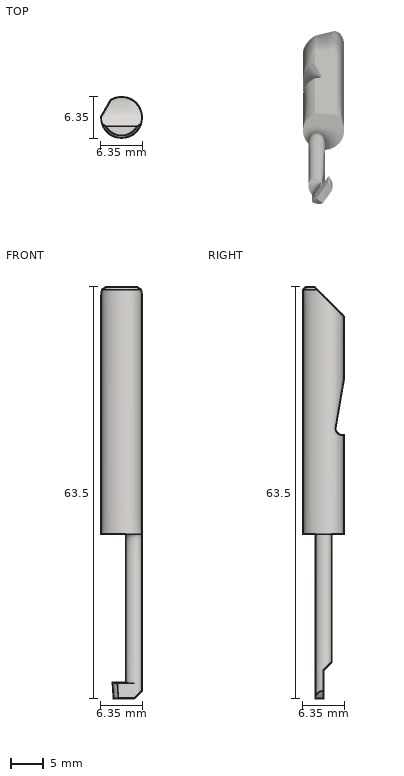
import math

import cadquery as cq


overall_length = 63.5
shank_diameter = 6.35
shank_radius = shank_diameter / 2
shank_length = 38.1
neck_length = overall_length - shank_length

flat_normal_angle = 150.0
flat_distance = 2.8

rim_chamfer = 0.4
bevel_start_y = -1.38

notch_floor_z = 40.7
notch_depth = 1.3
notch_radius = 1.0
notch_ramp_angle = 9.8

neck_radius = 1.27
neck_x = shank_radius - neck_radius
relief_base_z = 4.4
corner_chamfer = 1.25

head_height = 2.54
tip_x = -1.25
head_front_x = -0.48
end_arc_bulge = 0.1
end_face_lean = 0.17
side_relief = 0.15
edge_rise = 0.08

oversize = 2 * shank_diameter


def prism_along_x(points):
    """Prism across the whole part from an outline of (Y, Z) points."""
    return cq.Workplane("YZ").polyline(points).close().extrude(oversize, both=True)


def make_shank():
    shank = cq.Workplane("XY").workplane(offset=neck_length).circle(shank_radius).extrude(shank_length)
    shank = shank.faces(">Z").edges().chamfer(rim_chamfer)
    return shank.cut(make_flat_cutter()).cut(make_bevel_cutter()).cut(make_notch_cutter())


def make_flat_cutter():
    cutter = cq.Workplane("XY").box(oversize, oversize, overall_length, centered=(False, True, False))
    cutter = cutter.translate((flat_distance, 0, neck_length))
    return cutter.rotate((0, 0, 0), (0, 0, 1), flat_normal_angle)


def make_bevel_cutter():
    return prism_along_x([
        (bevel_start_y, overall_length),
        (bevel_start_y + oversize, overall_length),
        (bevel_start_y + oversize, overall_length - oversize),
    ])


def make_notch_cutter():
    """Ramp running down and inward to a rounded corner above the notch floor."""
    ramp = math.radians(notch_ramp_angle)
    deepest_y = shank_radius - notch_depth
    arc_center_y = deepest_y + notch_radius
    arc_center_z = notch_floor_z + notch_radius
    arc_start = (
        arc_center_y - notch_radius * math.cos(ramp),
        arc_center_z + notch_radius * math.sin(ramp),
    )
    bisector = (math.pi / 2 - ramp) / 2
    arc_middle = (
        arc_center_y - notch_radius * math.cos(bisector),
        arc_center_z - notch_radius * math.sin(bisector),
    )
    ramp_end_y = shank_radius + notch_radius
    ramp_end_z = arc_start[1] + (ramp_end_y - arc_start[0]) / math.tan(ramp)
    return (
        cq.Workplane("YZ")
        .moveTo(ramp_end_y, ramp_end_z)
        .lineTo(*arc_start)
        .threePointArc(arc_middle, (arc_center_y, notch_floor_z))
        .lineTo(ramp_end_y, notch_floor_z)
        .close()
        .extrude(oversize, both=True)
    )


def make_neck():
    """Round neck, halved below a 45 degree run-out so the rake face lies on Y = 0."""
    neck = cq.Workplane("XY").center(neck_x, 0).circle(neck_radius).extrude(neck_length)
    rake_cutter = prism_along_x([
        (0, -oversize),
        (0, relief_base_z),
        (oversize, relief_base_z + oversize),
        (oversize, -oversize),
    ])
    corner_cutter = (
        cq.Workplane("XZ")
        .moveTo(shank_radius, corner_chamfer)
        .lineTo(shank_radius - corner_chamfer, 0)
        .lineTo(shank_radius, 0)
        .close()
        .extrude(oversize, both=True)
    )
    return neck.cut(rake_cutter).cut(corner_cutter)


def add_head_section(workplane, end_shift):
    """Plan outline of the head; its free end is a bulged arc moved along X by end_shift."""
    chord_x = tip_x - head_front_x
    chord_length = math.hypot(chord_x, neck_radius)
    arc_middle = (
        (tip_x + head_front_x) / 2 + end_shift - end_arc_bulge * neck_radius / chord_length,
        -neck_radius / 2 + end_arc_bulge * chord_x / chord_length,
    )
    return (
        workplane
        .moveTo(neck_x, 0)
        .lineTo(tip_x + end_shift, 0)
        .threePointArc(arc_middle, (head_front_x + end_shift, -neck_radius))
        .lineTo(neck_x, -neck_radius)
        .close()
    )


def make_head():
    """Cutting head with a leaning end face and side relief behind its upper and lower edges."""
    bottom = add_head_section(cq.Workplane("XY"), 0)
    both_sections = add_head_section(bottom.workplane(offset=head_height), -end_face_lean)
    blank = both_sections.loft(ruled=True)
    side_envelope = prism_along_x([
        (0, 0),
        (0, head_height),
        (-neck_radius, head_height - side_relief),
        (-neck_radius, side_relief),
    ])
    return blank.intersect(side_envelope)


def make_edge_cutter():
    """Wedge that lets the bottom edge rise from the tip toward the neck."""
    return (
        cq.Workplane("XZ")
        .moveTo(tip_x, 0)
        .lineTo(shank_radius, edge_rise)
        .lineTo(shank_radius, 0)
        .close()
        .extrude(oversize, both=True)
    )


result = make_shank().union(make_neck()).union(make_head()).cut(make_edge_cutter())